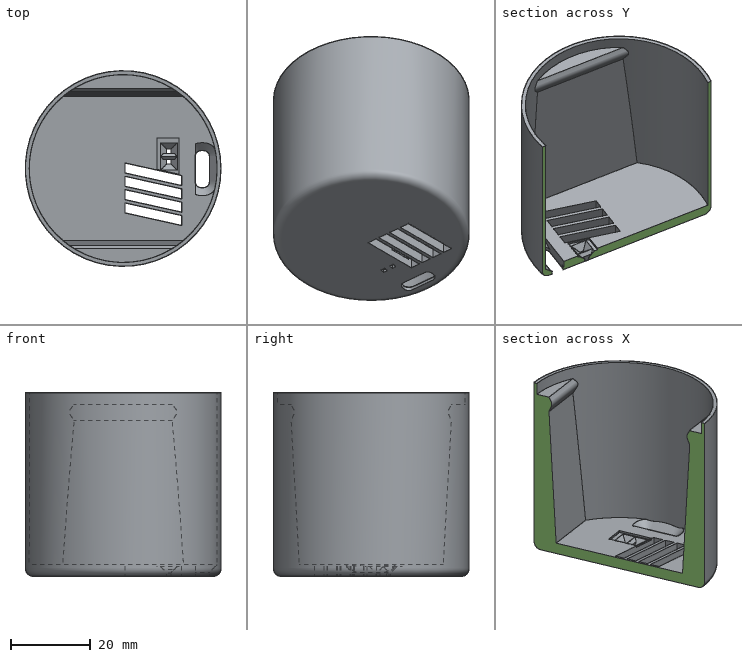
import cadquery as cq

OUTER_DIAMETER = 49.0
WALL = 1.0
HEIGHT = 46.0
FLOOR = 3.0
BOTTOM_FILLET = 2.0
INNER_RADIUS = OUTER_DIAMETER / 2 - WALL

LEDGE_Z = 43.0
LEDGE_Y = 20.05
SEGMENT_FOOT_Y = 18.0
RIDGE_HEIGHT = 4.0
RIDGE_DEPTH = 0.77
UNDERSIDE_DEPTH = 0.6
UNDERSIDE_HEIGHT = 1.35
RAMP_DEPTH = 0.62
RAMP_HEIGHT = 1.15

VENT_COUNT = 4
VENT_PITCH = 3.33
VENT_WIDTH = 2.45
VENT_LEFT = 0.5
VENT_RIGHT = 14.6
VENT_DROP = 3.13
VENT_TOP_Y = 1.35

RECESS_LEFT = 8.45
RECESS_RIGHT = 13.95
RECESS_TOP_Y = 7.65
RECESS_DEPTH = 0.5
RECESS_VENT_GAP = 0.2
FUNNEL_X = 11.43
FUNNEL_RIDGE_Y = 3.0
FUNNEL_HOLE = 1.05
FUNNEL_DEPTH = 1.58
FUNNEL_HOLE_OFFSET = 0.8

CABLE_LEFT = 18.05
CABLE_Y = -0.15
CABLE_WIDTH = 3.5
CABLE_LENGTH = 9.2
CABLE_CORNER = 1.4
FLARE = 2.0


def cup():
    """Round cup with a rounded bottom edge."""
    outside = cq.Workplane("XY").circle(OUTER_DIAMETER / 2).extrude(HEIGHT)
    outside = outside.faces("<Z").edges().fillet(BOTTOM_FILLET)
    bore = cq.Workplane("XY").workplane(offset=FLOOR).circle(INNER_RADIUS).extrude(HEIGHT)
    return outside.cut(bore)


def side_segment():
    """Leaning +Y wall, with the ramped and rounded snap ridge at its top, kept within the cup wall."""
    ridge_bottom = LEDGE_Z - RIDGE_HEIGHT
    underside_end = (LEDGE_Y - UNDERSIDE_DEPTH, ridge_bottom + UNDERSIDE_HEIGHT)
    ramp_end = (LEDGE_Y - RAMP_DEPTH, LEDGE_Z - RAMP_HEIGHT)
    tip = (LEDGE_Y - RIDGE_DEPTH, (underside_end[1] + ramp_end[1]) / 2)
    profile = (
        cq.Workplane("YZ", origin=(-OUTER_DIAMETER / 2, 0, 0))
        .moveTo(OUTER_DIAMETER / 2, FLOOR)
        .lineTo(SEGMENT_FOOT_Y, FLOOR)
        .lineTo(LEDGE_Y, ridge_bottom)
        .lineTo(*underside_end)
        .threePointArc(tip, ramp_end)
        .lineTo(LEDGE_Y, LEDGE_Z)
        .lineTo(OUTER_DIAMETER / 2, LEDGE_Z)
        .close()
        .extrude(OUTER_DIAMETER)
    )
    limit = cq.Workplane("XY").circle(INNER_RADIUS + WALL / 2).extrude(HEIGHT)
    return profile.intersect(limit)


def vent_edge_y(x):
    """Y position of the upper edge of the first vent at a given X."""
    return VENT_TOP_Y - VENT_DROP * (x - VENT_LEFT) / (VENT_RIGHT - VENT_LEFT)


def vent(index):
    """Slanted vent through the floor, counted toward -Y."""
    shift = index * VENT_PITCH
    upper_left = vent_edge_y(VENT_LEFT) - shift
    upper_right = vent_edge_y(VENT_RIGHT) - shift
    return (
        cq.Workplane("XY")
        .polyline([
            (VENT_LEFT, upper_left),
            (VENT_RIGHT, upper_right),
            (VENT_RIGHT, upper_right - VENT_WIDTH),
            (VENT_LEFT, upper_left - VENT_WIDTH),
        ])
        .close()
        .extrude(FLOOR)
    )


def recess():
    """Shallow floor recess whose lower edge runs parallel to the first vent."""
    return (
        cq.Workplane("XY", origin=(0, 0, FLOOR - RECESS_DEPTH))
        .polyline([
            (RECESS_LEFT, RECESS_TOP_Y),
            (RECESS_RIGHT, RECESS_TOP_Y),
            (RECESS_RIGHT, vent_edge_y(RECESS_RIGHT) + RECESS_VENT_GAP),
            (RECESS_LEFT, vent_edge_y(RECESS_LEFT) + RECESS_VENT_GAP),
        ])
        .close()
        .extrude(RECESS_DEPTH)
    )


def funnel(side):
    """Square funnel with its through hole, on the +Y (1) or -Y (-1) side of the dividing ridge."""
    top = FLOOR - RECESS_DEPTH
    bottom = top - FUNNEL_DEPTH
    half_hole = FUNNEL_HOLE / 2
    half_top = half_hole + FUNNEL_DEPTH
    near = FUNNEL_HOLE_OFFSET
    far = near + FUNNEL_HOLE
    across = (
        cq.Workplane("XZ", origin=(FUNNEL_X, OUTER_DIAMETER / 2, 0))
        .polyline([(-half_top, top), (half_top, top), (half_hole, bottom), (-half_hole, bottom)])
        .close()
        .extrude(OUTER_DIAMETER)
    )
    along = (
        cq.Workplane("YZ", origin=(FUNNEL_X - half_top, FUNNEL_RIDGE_Y, 0))
        .polyline([
            (0, top),
            (side * near, top - near),
            (side * near, bottom),
            (side * far, bottom),
            (side * (far + FUNNEL_DEPTH), top),
        ])
        .close()
        .extrude(2 * half_top)
    )
    hole_y = FUNNEL_RIDGE_Y + side * (near + far) / 2
    hole = (
        cq.Workplane("XY")
        .center(FUNNEL_X, hole_y)
        .rect(FUNNEL_HOLE, FUNNEL_HOLE)
        .extrude(top)
    )
    return across.intersect(along).union(hole)


def rounded_slot(z, growth):
    """Face of the cable opening at height z, grown outward on every side."""
    return (
        cq.Sketch()
        .rect(CABLE_WIDTH + 2 * growth, CABLE_LENGTH + 2 * growth)
        .vertices()
        .fillet(CABLE_CORNER + growth)
        .moved(cq.Location(cq.Vector(0, 0, z)))
    )


def cable_opening():
    """Through slot whose mouth flares on every side but the straight -X one, up to the cup wall."""
    center_x = CABLE_LEFT + CABLE_WIDTH / 2
    hole = cq.Workplane("XY").center(center_x, CABLE_Y).placeSketch(rounded_slot(0, 0)).extrude(FLOOR)
    mouth = (
        cq.Workplane("XY")
        .center(center_x, CABLE_Y)
        .placeSketch(rounded_slot(FLOOR - FLARE, 0), rounded_slot(FLOOR, FLARE))
        .loft()
    )
    right_of_slot = (
        cq.Workplane("XY", origin=(CABLE_LEFT, 0, 0))
        .box(INNER_RADIUS - CABLE_LEFT, OUTER_DIAMETER, FLOOR, centered=(False, True, False))
    )
    bore = cq.Workplane("XY").circle(INNER_RADIUS).extrude(FLOOR)
    return hole.union(mouth.intersect(right_of_slot).intersect(bore))


segment = side_segment()
result = cup().union(segment).union(segment.mirror("XZ"))
for index in range(VENT_COUNT):
    result = result.cut(vent(index))
result = result.cut(recess())
for side in (1, -1):
    result = result.cut(funnel(side))
result = result.cut(cable_opening())